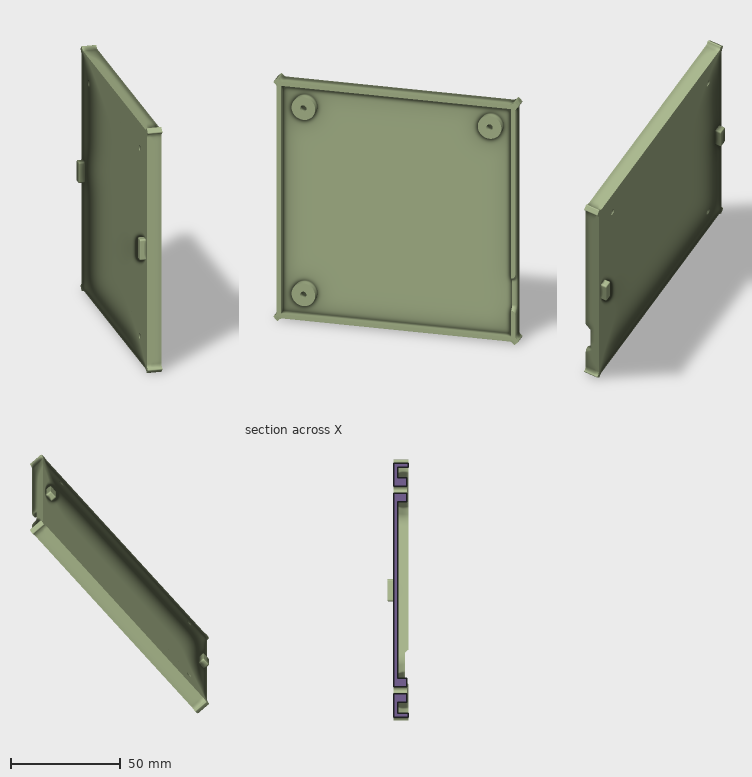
import cadquery as cq
import math

TOTAL_X = 115.5
TOTAL_Y = 9.7
TOTAL_Z = 118.7

TRAY_DEPTH = 6.9
TAB_REACH = 1.4
WALL = 2.0
FRONT_THICKNESS = 2.0

FLARE_ANGLE = math.radians(60)
TIP_RADIUS = 0.5
TIP_INSET = 1.9
NOSE_ANGLE = math.radians(45)

HOLE_DIAMETER = 3.0
HOLE_X = 43.9
HOLE_Z = 45.6
HOLE_PLACES = [(-HOLE_X, HOLE_Z), (HOLE_X, HOLE_Z), (HOLE_X, -HOLE_Z)]
BOSS_DIAMETER = 11.2
BOSS_RECESS = 0.8

PAD_X = 52.6
PAD_WIDTH = 4.0
PAD_LENGTH = 10.2
PAD_ROUND = 0.8
PAD_END_ROUND = 0.5

NOTCH_Z = -34.9
NOTCH_FLOOR_LENGTH = 12.8
NOTCH_CORNER_RADIUS = 1.7
NOTCH_END_RUN = 1.5
NOTCH_DEPTH = 1.8
NOTCH_ROUND = 1.7

half_x = TOTAL_X / 2
half_z = TOTAL_Z / 2
side_x = half_x - TAB_REACH
side_z = half_z - TAB_REACH
back_y = TOTAL_Y / 2
front_y = back_y - TRAY_DEPTH
pad_height = TOTAL_Y - TRAY_DEPTH


def plane_at(y):
    """Plane facing -Y at position y, with local x = X and local y = Z."""
    return cq.Workplane("XZ", origin=(0, y, 0))


def arc_offset(radius, angle):
    """Travel along the start tangent and sideways drift of an arc turning by angle."""
    return radius * math.sin(angle), radius * (1 - math.cos(angle))


def corner_tab():
    """Tab at the +X +Z corner, over the full tray depth."""
    tip_before, tip_drop = arc_offset(TIP_RADIUS, FLARE_ANGLE)
    tip_after, nose_drop = arc_offset(TIP_RADIUS, NOSE_ANGLE)
    flare_radius = (TAB_REACH - tip_drop) / (1 - math.cos(FLARE_ANGLE))
    flare_along, flare_out = arc_offset(flare_radius, FLARE_ANGLE)
    middle_along, middle_out = arc_offset(flare_radius, FLARE_ANGLE / 2)

    tip_x = half_x - TIP_INSET
    tip_z = half_z - TIP_INSET
    flare_x = tip_x - tip_before - flare_along
    flare_z = tip_z - tip_before - flare_along
    return (
        plane_at(back_y)
        .moveTo(flare_x, side_z)
        .threePointArc((flare_x + middle_along, side_z + middle_out), (tip_x - tip_before, side_z + flare_out))
        .threePointArc((tip_x, half_z), (tip_x + tip_after, half_z - nose_drop))
        .lineTo(half_x - nose_drop, tip_z + tip_after)
        .threePointArc((half_x, tip_z), (side_x + flare_out, tip_z - tip_before))
        .threePointArc((side_x + middle_out, flare_z + middle_along), (side_x, flare_z))
        .lineTo(flare_x, flare_z)
        .close()
        .extrude(TRAY_DEPTH)
    )


def tray():
    """Open-backed tray with a tab at each corner."""
    body = plane_at(back_y).rect(2 * side_x, 2 * side_z).extrude(TRAY_DEPTH)
    tab = corner_tab()
    for upper_tab in (tab, tab.mirror("YZ")):
        body = body.union(upper_tab).union(upper_tab.mirror("XY"))
    cavity = (
        plane_at(back_y)
        .rect(2 * (side_x - WALL), 2 * (side_z - WALL))
        .extrude(TRAY_DEPTH - FRONT_THICKNESS)
    )
    return body.cut(cavity)


def bosses():
    """Round bosses rising from the front plate around the screw holes."""
    return (
        plane_at(back_y - BOSS_RECESS)
        .pushPoints(HOLE_PLACES)
        .circle(BOSS_DIAMETER / 2)
        .extrude(TRAY_DEPTH - BOSS_RECESS - FRONT_THICKNESS)
    )


def screw_holes():
    return plane_at(back_y).pushPoints(HOLE_PLACES).circle(HOLE_DIAMETER / 2).extrude(TRAY_DEPTH)


def pad(x):
    """Rounded locating pad standing on the front face."""
    return (
        plane_at(front_y)
        .center(x, 0)
        .rect(PAD_WIDTH, PAD_LENGTH)
        .extrude(pad_height)
        .edges("|Y")
        .fillet(PAD_ROUND)
        .faces("<Y")
        .edges()
        .fillet(PAD_END_ROUND)
    )


def cut_notch(body):
    """Trapezoid notch with sloped ends, outer edge rounded over."""
    floor_half = NOTCH_FLOOR_LENGTH / 2
    top_half = floor_half + NOTCH_END_RUN
    floor_y = back_y - NOTCH_DEPTH
    notch = (
        cq.Workplane("YZ", origin=(-half_x, 0, NOTCH_Z))
        .polyline([(back_y, -top_half), (floor_y, -floor_half), (floor_y, floor_half), (back_y, top_half)])
        .close()
        .extrude(half_x - side_x + WALL)
        .edges("|X and <Y")
        .fillet(NOTCH_CORNER_RADIUS)
    )
    body = body.cut(notch)
    margin = NOTCH_DEPTH / 10
    rim = cq.selectors.BoxSelector(
        (-side_x - margin, floor_y - margin, NOTCH_Z - top_half),
        (-side_x + margin, back_y - margin, NOTCH_Z + top_half),
    )
    return body.edges(rim).fillet(NOTCH_ROUND)


result = cut_notch(tray()).union(bosses()).cut(screw_holes())
for pad_x in (-PAD_X, PAD_X):
    result = result.union(pad(pad_x))